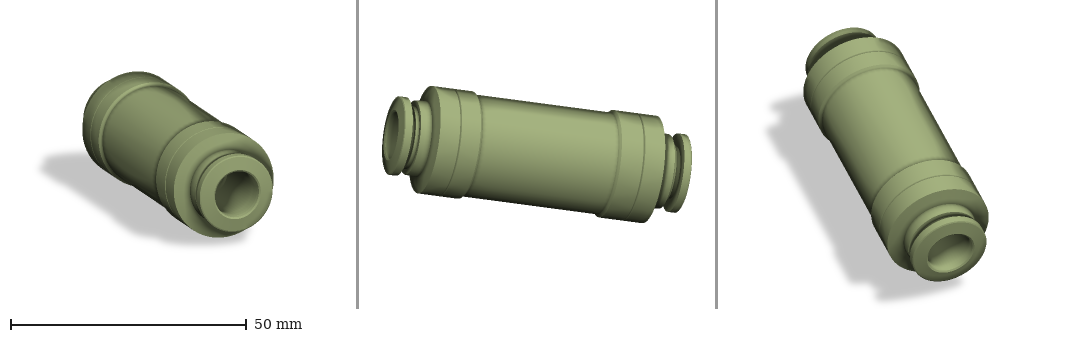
import cadquery as cq

length = 64.7
end_x = length / 2
body_radius = 10.9
band_radius = 11.5

mouth_radius = 5.4
collar_radius = 8.4
collar_face_depth = 0.5
collar_face_radius = 8.15
collar_bevel_depth = 0.65
collar_back = 2.25
neck_radius = 5.6

ring_start = 3.45
ring_radius = 6.7
sleeve_start = 4.2
sleeve_start_radius = 7.93
sleeve_radius = 8.13
sleeve_taper_end = 6.15
sleeve_end = 6.6

shoulder_end = 7.45
groove_start = 11.83
groove_width = 0.4
groove_depth = 0.25
left_band_end = 16.4
right_band_end = 17.05
band_bevel_length = 0.6

socket_radius = 4.95
lead_in_radius = 5.05
lead_in_depth = 0.25
socket_taper_end = 1.15
socket_depth = 17.0
bore_radius = 4.4


def outer_end_profile(band_end):
    """Outer (depth, radius) points from the mouth to the plain body."""
    return [
        (0, mouth_radius),
        (collar_face_depth, collar_face_radius),
        (collar_bevel_depth, collar_radius),
        (collar_back, collar_radius),
        (collar_back, neck_radius),
        (ring_start, neck_radius),
        (ring_start, ring_radius),
        (sleeve_start, ring_radius),
        (sleeve_start, sleeve_start_radius),
        (sleeve_taper_end, sleeve_radius),
        (sleeve_end, sleeve_radius),
        (shoulder_end, band_radius),
        (groove_start, band_radius),
        (groove_start + groove_width / 2, band_radius - groove_depth),
        (groove_start + groove_width, band_radius),
        (band_end, band_radius),
        (band_end + band_bevel_length, body_radius),
    ]


def socket_profile():
    """Inner (depth, radius) points from just inside the mouth to the bore."""
    return [
        (lead_in_depth, lead_in_radius),
        (socket_taper_end, socket_radius),
        (socket_depth, socket_radius),
        (socket_depth, bore_radius),
    ]


def at_left_end(profile):
    return [(depth - end_x, radius) for depth, radius in profile]


def at_right_end(profile):
    return [(end_x - depth, radius) for depth, radius in profile]


def make_coupling():
    """Revolve the closed half section about the X axis."""
    left_outer = at_left_end(outer_end_profile(left_band_end))
    right_outer = at_right_end(outer_end_profile(right_band_end))
    left_inner = at_left_end(socket_profile())
    right_inner = at_right_end(socket_profile())

    section = left_outer + right_outer[::-1] + right_inner + left_inner[::-1]
    return cq.Workplane("XY").polyline(section).close().revolve(360, (0, 0, 0), (1, 0, 0))


result = make_coupling()